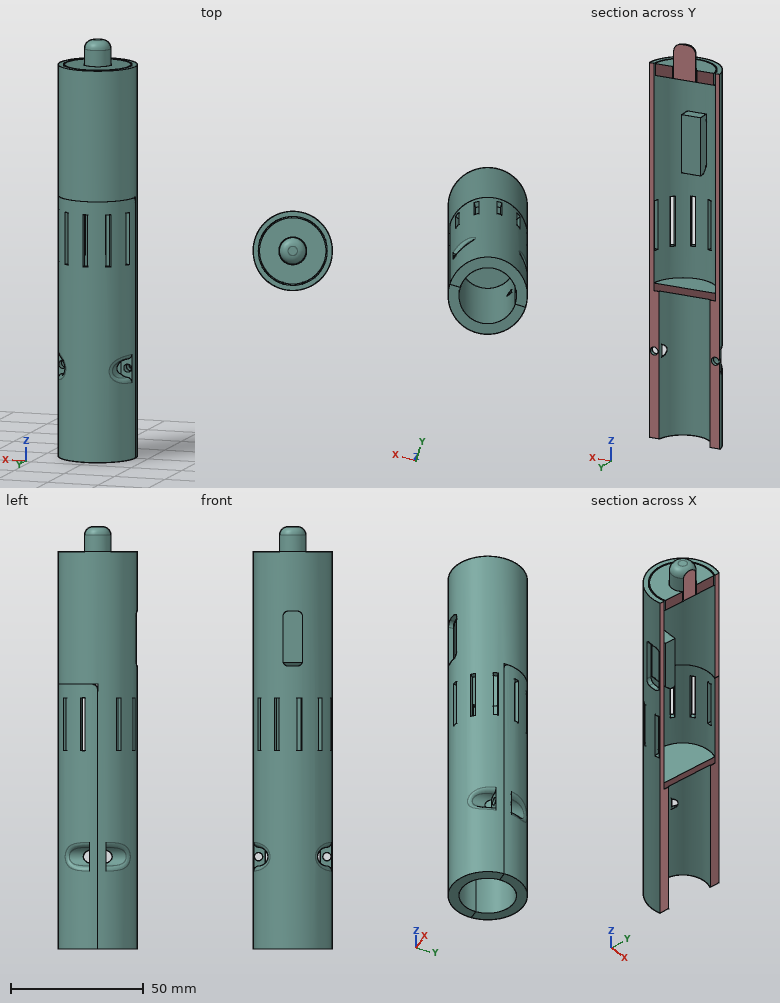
import cadquery as cq

OUTER_DIAMETER = 30.0
TUBE_LENGTH = 150.0
TOTAL_HEIGHT = 159.5
BORE_DIAMETER = 26.0
LOWER_BORE_DIAMETER = 21.7
OUTER_RADIUS = OUTER_DIAMETER / 2

DOOR_HEIGHT = 100.0
DOOR_CORNER_RADIUS = 2.0

CAP_DIAMETER = 25.0
CAP_THICKNESS = 5.0
PIN_HOLE_DIAMETER = 10.5
PIN_DIAMETER = 10.0
PIN_TIP_FLAT_DIAMETER = 3.5
PIN_TIP_RADIUS = (PIN_DIAMETER - PIN_TIP_FLAT_DIAMETER) / 2

PARTITION_TOP = 62.2
PARTITION_THICKNESS = 3.0
STEP_HEIGHT = PARTITION_TOP - PARTITION_THICKNESS

SLOT_WIDTH = 1.9
SLOT_LENGTH = 20.0
SLOT_BOTTOM = 75.0
SLOT_PITCH_ANGLE = 33.8
SLOTS_PER_HALF = 5
TUBE_SLOT_CENTRE_ANGLE = 9.8
DOOR_SLOT_CENTRE_ANGLE = 180.0

WINDOW_WIDTH = 7.3
WINDOW_BOTTOM = 106.8
WINDOW_TOP = 127.5
WINDOW_CORNER_RADIUS = 1.9
SWITCH_FACE_DEPTH = 3.2
SWITCH_WIDTH = 8.0
SWITCH_THICKNESS = 4.8
SWITCH_CHAMFER = 2.4
SWITCH_FACE_BOTTOM = 108.3
SWITCH_TOP = 129.2

SCREW_HEIGHT = 35.0
SCREW_OFFSET = 12.9
SCREW_HOLE_DIAMETER = 3.0
SCREW_POCKET_RADIUS = 3.5
SCREW_POCKET_FILLET = 1.9
SCREW_LEDGE_THICKNESS = 3.2


def cylinder(diameter, bottom, top):
    return cq.Workplane("XY").workplane(offset=bottom).circle(diameter / 2).extrude(top - bottom)


def box(x_size, y_min, y_max, z_min, z_max):
    """Box centred on X and bounded by the given Y and Z limits."""
    return cq.Workplane("XY").box(x_size, y_max - y_min, z_max - z_min).translate(
        (0, (y_min + y_max) / 2, (z_min + z_max) / 2)
    )


def make_shell():
    """Complete stepped tube before the door is separated from it."""
    shell = cylinder(OUTER_DIAMETER, 0, TUBE_LENGTH)
    shell = shell.cut(cylinder(LOWER_BORE_DIAMETER, 0, STEP_HEIGHT))
    return shell.cut(cylinder(BORE_DIAMETER, STEP_HEIGHT, TUBE_LENGTH))


def make_door_region():
    """Block that holds everything on the door side of the joint."""
    return box(2 * OUTER_DIAMETER, 0, OUTER_DIAMETER, 0, DOOR_HEIGHT)


def cut_slots(body, centre_angle):
    slot = box(SLOT_WIDTH, -OUTER_DIAMETER, -LOWER_BORE_DIAMETER / 2, SLOT_BOTTOM, SLOT_BOTTOM + SLOT_LENGTH)
    for index in range(SLOTS_PER_HALF):
        angle = centre_angle + (index - (SLOTS_PER_HALF - 1) / 2) * SLOT_PITCH_ANGLE
        body = body.cut(slot.rotate((0, 0, 0), (0, 0, 1), angle))
    return body


def cut_screw_seats(body, side):
    """Cut two screw holes and rounded pockets; side is -1 for -Y and +1 for +Y."""
    for x in (-SCREW_OFFSET, SCREW_OFFSET):
        joint_plane = cq.Workplane("XZ", origin=(x, 0, SCREW_HEIGHT))
        hole = joint_plane.circle(SCREW_HOLE_DIAMETER / 2).extrude(-side * OUTER_DIAMETER)
        pocket = (
            joint_plane.workplane(offset=-side * SCREW_LEDGE_THICKNESS)
            .circle(SCREW_POCKET_RADIUS)
            .extrude(-side * OUTER_DIAMETER)
        )
        body = body.cut(hole).cut(pocket)
        rim_finder = cq.selectors.BoxSelector(
            (x - SCREW_POCKET_RADIUS, side * 2 * SCREW_LEDGE_THICKNESS, SCREW_HEIGHT - SCREW_POCKET_RADIUS),
            (x + SCREW_POCKET_RADIUS, side * OUTER_RADIUS, SCREW_HEIGHT + SCREW_POCKET_RADIUS),
        )
        body = body.edges(rim_finder).fillet(SCREW_POCKET_FILLET)
    return body


def cut_switch_window(body):
    window = box(WINDOW_WIDTH, -OUTER_DIAMETER, -LOWER_BORE_DIAMETER / 2, WINDOW_BOTTOM, WINDOW_TOP)
    return body.cut(window.edges("|Y").fillet(WINDOW_CORNER_RADIUS))


def make_tube():
    tube = make_shell().cut(make_door_region())
    tube = cut_slots(tube, TUBE_SLOT_CENTRE_ANGLE)
    tube = cut_switch_window(tube)
    return cut_screw_seats(tube, -1)


def make_door():
    region = make_door_region().edges("|X and >Z and <Y").fillet(DOOR_CORNER_RADIUS)
    door = make_shell().intersect(region)
    door = cut_slots(door, DOOR_SLOT_CENTRE_ANGLE)
    return cut_screw_seats(door, 1)


def make_cap():
    cap = cylinder(CAP_DIAMETER, TUBE_LENGTH - CAP_THICKNESS, TUBE_LENGTH)
    return cap.cut(cylinder(PIN_HOLE_DIAMETER, TUBE_LENGTH - CAP_THICKNESS, TUBE_LENGTH))


def make_pin():
    """Push pin with a rounded tip, level with the underside of the cap."""
    stem = cylinder(PIN_DIAMETER, TUBE_LENGTH - CAP_THICKNESS, TOTAL_HEIGHT)
    return stem.faces(">Z").edges().fillet(PIN_TIP_RADIUS)


def make_switch():
    """Flat-faced block with a bevelled lower front edge."""
    face_y = -OUTER_RADIUS + SWITCH_FACE_DEPTH
    block = box(
        SWITCH_WIDTH, face_y, face_y + SWITCH_THICKNESS, SWITCH_FACE_BOTTOM - SWITCH_CHAMFER, SWITCH_TOP
    )
    return block.edges("|X and <Z and <Y").chamfer(SWITCH_CHAMFER)


def make_partition():
    return cylinder(BORE_DIAMETER, STEP_HEIGHT, PARTITION_TOP)


tube = make_tube()
door = make_door()
cap = make_cap()
pin = make_pin()
switch = make_switch()
partition = make_partition()

result = cq.Compound.makeCompound(
    [tube.val(), door.val(), cap.val(), pin.val(), switch.val(), partition.val()]
)